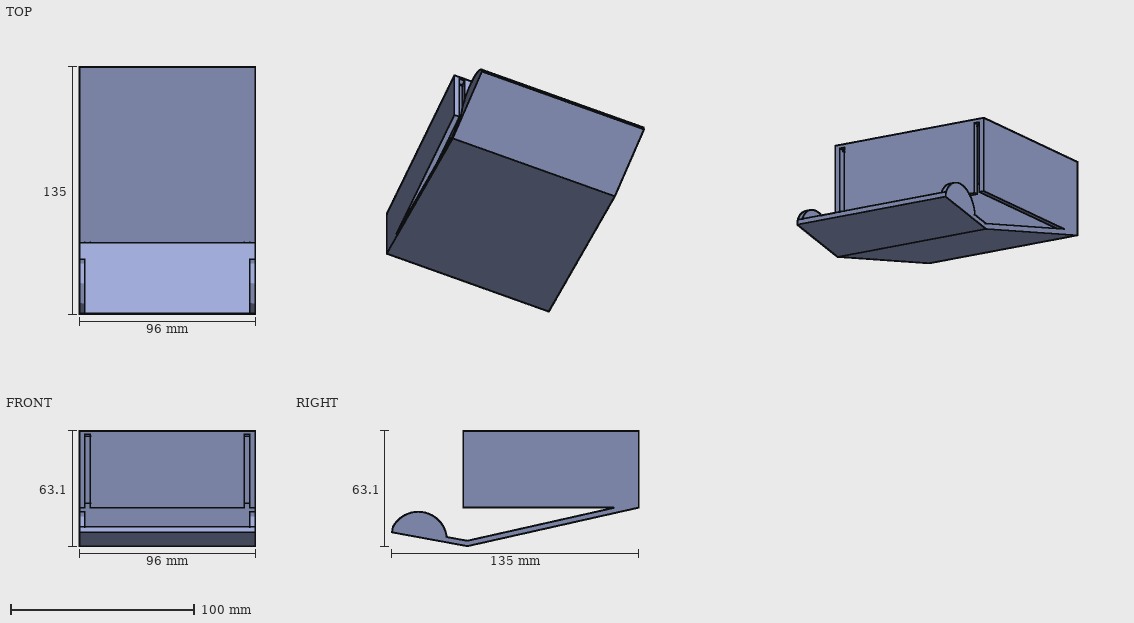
import cadquery as cq
import math

WIDTH = 96.0
BOX_DEPTH = 96.0
BOX_HEIGHT = 42.0
WALL = 3.0
SLOT_WIDTH = 3.0
SLOT_ROOF = 2.0

ARM_THICKNESS = 3.0
ARM_LENGTH = 96.0
ARM_DROP = 21.07
LIP_LENGTH = 42.0
TOTAL_DEPTH = 134.97

EAR_THICKNESS = 3.0
EAR_CHORD = 30.0
EAR_RISE = 11.0

ARM_ANGLE = math.asin(ARM_DROP / ARM_LENGTH)
ARM_RUN = ARM_LENGTH * math.cos(ARM_ANGLE)
LIP_ANGLE = math.acos((TOTAL_DEPTH - ARM_RUN) / LIP_LENGTH)


def lip_point(along, above):
    """Point at a distance along the lip's underside from the bend and above it."""
    y = BOX_DEPTH - ARM_RUN - along * math.cos(LIP_ANGLE) + above * math.sin(LIP_ANGLE)
    z = -ARM_DROP + along * math.sin(LIP_ANGLE) + above * math.cos(LIP_ANGLE)
    return y, z


def make_box():
    """Box with an open bottom and two slots through its front wall."""
    box = cq.Workplane("XY").box(WIDTH, BOX_DEPTH, BOX_HEIGHT, centered=(True, False, False))
    cavity = (
        cq.Workplane("XY")
        .box(WIDTH - 2 * WALL, BOX_DEPTH - 2 * WALL, BOX_HEIGHT - WALL, centered=(True, False, False))
        .translate((0, WALL, 0))
    )
    box = box.cut(cavity)
    slot_offset = WIDTH / 2 - WALL - SLOT_WIDTH / 2
    for side in (-1, 1):
        slot = (
            cq.Workplane("XY")
            .box(SLOT_WIDTH, WALL, BOX_HEIGHT - SLOT_ROOF, centered=(True, False, False))
            .translate((side * slot_offset, 0, 0))
        )
        box = box.cut(slot)
    return box


def make_arm():
    """Bent plate that slopes down from the rear of the box and turns up at the front."""
    bend_shift = ARM_THICKNESS * math.tan((ARM_ANGLE + LIP_ANGLE) / 2)
    rear_top = (
        BOX_DEPTH - ARM_THICKNESS * math.sin(ARM_ANGLE),
        ARM_THICKNESS * math.cos(ARM_ANGLE),
    )
    outline = [
        (BOX_DEPTH, 0),
        lip_point(0, 0),
        lip_point(LIP_LENGTH, 0),
        lip_point(LIP_LENGTH, ARM_THICKNESS),
        lip_point(bend_shift, ARM_THICKNESS),
        rear_top,
    ]
    return cq.Workplane("YZ").polyline(outline).close().extrude(WIDTH / 2, both=True)


def make_ear(x_start):
    """Round-topped ear standing on the front end of the lip."""
    middle = LIP_LENGTH - EAR_CHORD / 2
    return (
        cq.Workplane("YZ", origin=(x_start, 0, 0))
        .moveTo(*lip_point(LIP_LENGTH, 0))
        .lineTo(*lip_point(LIP_LENGTH, ARM_THICKNESS))
        .threePointArc(
            lip_point(middle, ARM_THICKNESS + EAR_RISE),
            lip_point(LIP_LENGTH - EAR_CHORD, ARM_THICKNESS),
        )
        .lineTo(*lip_point(LIP_LENGTH - EAR_CHORD, 0))
        .close()
        .extrude(EAR_THICKNESS)
    )


result = make_box().union(make_arm())
for ear_start in (-WIDTH / 2, WIDTH / 2 - EAR_THICKNESS):
    result = result.union(make_ear(ear_start))